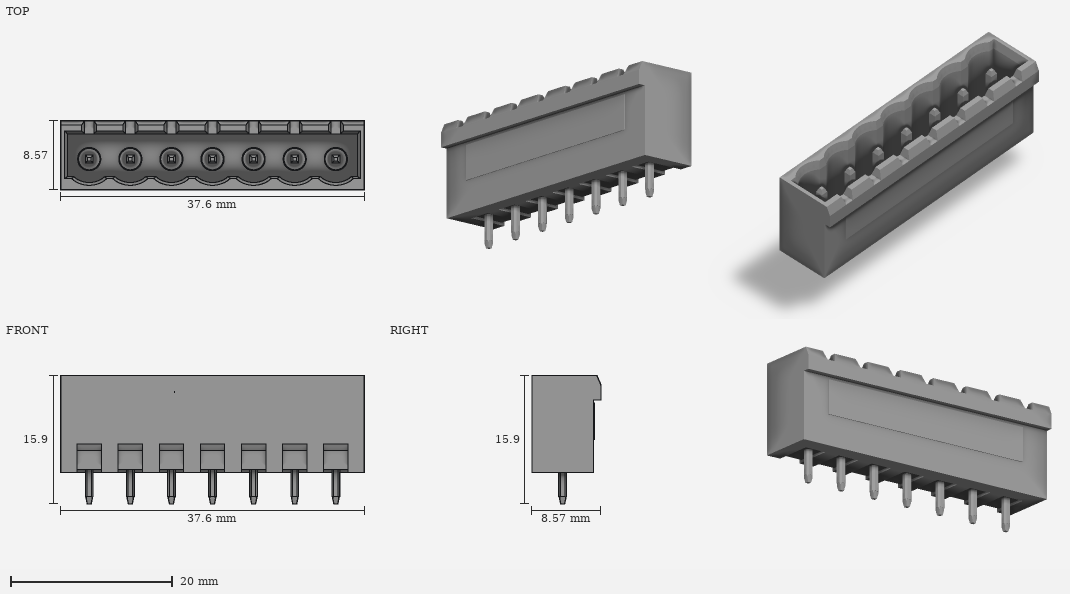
import cadquery as cq


PIN_COUNT = 7
PITCH = 5.08
ROW_LENGTH = (PIN_COUNT - 1) * PITCH
PIN_X = [i * PITCH - ROW_LENGTH / 2 for i in range(PIN_COUNT)]

LENGTH = 37.56
DEPTH = 7.62
HEIGHT = 12.0
FRONT_Y = -DEPTH / 2
BACK_Y = DEPTH / 2

LEDGE_REACH = 0.95
LEDGE_HEIGHT = 3.05
LEDGE_TOP_REACH = 0.42
LEAD_IN_HEIGHT = 1.2
LEDGE_SLOPE_HEIGHT = LEAD_IN_HEIGHT

PANEL_LENGTH = 30.0
PANEL_BOTTOM = 4.05
PANEL_TOP = 8.6
PANEL_THICKNESS = 0.12

FLOOR_Z = 3.5
END_WALL = 0.86
BACK_WALL = 0.69
FRONT_WALL = 1.65
LEAD_IN = 0.35
FRONT_LEAD_IN = 0.25
CAVITY_FRONT = FRONT_Y + FRONT_WALL
SCALLOP_RADIUS = 2.9

NOTCH_FLOOR_WIDTH = 1.15
NOTCH_TOP_WIDTH = 1.85
NOTCH_DEPTH = LEAD_IN_HEIGHT

COLLAR_BASE_RADIUS = 1.43
COLLAR_TOP_RADIUS = 1.33
COLLAR_HEIGHT = 0.3

WINDOW_WIDTH = 3.0
WINDOW_TOP = 3.5
WINDOW_SLOPE_BASE = 2.75
WINDOW_DEPTH = 0.4
UNDERCUT_HEIGHT = 0.35
UNDERCUT_BACK = WINDOW_WIDTH / 2

PIN_WIDTH = 0.98
LEG_BEVEL = 0.23
PIN_TOP = 10.3
PIN_BOTTOM = -3.9
SOLDER_TIP_LENGTH = 0.92
SOLDER_TIP_BASE_WIDTH = 0.88
SOLDER_TIP_WIDTH = 0.5
CONTACT_TIP_LENGTH = 0.6
CONTACT_TIP_WIDTH = 0.45


def side_prism(points, length):
    """Extrude a (Y, Z) outline along X, centred on X = 0."""
    return cq.Workplane("YZ").polyline(points).close().extrude(length / 2, both=True)


def front_prism(points, y_start, y_end):
    """Extrude an (X, Z) outline from y_start back to y_end."""
    return cq.Workplane("XZ", origin=(0, y_start, 0)).polyline(points).close().extrude(y_start - y_end)


def spanning_box(x_size, y_start, y_end, z_start, z_end):
    """Box centred on X = 0 between the given Y and Z limits."""
    return (
        cq.Workplane("XY", origin=(0, (y_start + y_end) / 2, z_start))
        .rect(x_size, y_end - y_start)
        .extrude(z_end - z_start)
    )


def frustum(z_start, radius_start, z_end, radius_end):
    """Cone frustum about the Z axis."""
    outline = [(0, z_start), (radius_start, z_start), (radius_end, z_end), (0, z_end)]
    return cq.Workplane("XZ").polyline(outline).close().revolve(360, (0, 0, 0), (0, 1, 0))


def square_taper(z_start, width_start, z_end, width_end):
    """Square frustum about the Z axis."""
    return (
        cq.Workplane("XY", origin=(0, 0, z_start))
        .rect(width_start, width_start)
        .workplane(offset=z_end - z_start)
        .rect(width_end, width_end)
        .loft(ruled=True)
    )


def block_with_ledge():
    ledge_y = BACK_Y + LEDGE_REACH
    ledge_bottom = HEIGHT - LEDGE_HEIGHT
    outline = [
        (FRONT_Y, 0),
        (BACK_Y, 0),
        (BACK_Y, ledge_bottom),
        (ledge_y, ledge_bottom),
        (ledge_y, HEIGHT - LEDGE_SLOPE_HEIGHT),
        (BACK_Y + LEDGE_TOP_REACH, HEIGHT),
        (FRONT_Y, HEIGHT),
    ]
    panel = spanning_box(PANEL_LENGTH, BACK_Y, BACK_Y + PANEL_THICKNESS, PANEL_BOTTOM, PANEL_TOP)
    return side_prism(outline, LENGTH).union(panel)


def cavity_cutter():
    """Straight cavity plus the lead-in, which widens it on all four sides towards the rim."""
    inner_length = LENGTH - 2 * END_WALL
    inner_back = BACK_Y - BACK_WALL
    inner_depth = inner_back - CAVITY_FRONT
    straight = spanning_box(inner_length, CAVITY_FRONT, inner_back, FLOOR_Z, HEIGHT)
    lead_in = (
        cq.Workplane("XY", origin=(0, (CAVITY_FRONT + inner_back) / 2, HEIGHT - LEAD_IN_HEIGHT))
        .rect(inner_length, inner_depth)
        .workplane(offset=LEAD_IN_HEIGHT)
        .center(0, (LEAD_IN - FRONT_LEAD_IN) / 2)
        .rect(inner_length + 2 * LEAD_IN, inner_depth + LEAD_IN + FRONT_LEAD_IN)
        .loft(ruled=True)
    )
    return straight.union(lead_in)


def scallop_cutter():
    """Round bay in the front wall around one pin, flared at the rim."""
    bore = cq.Workplane("XY", origin=(0, 0, FLOOR_Z)).circle(SCALLOP_RADIUS).extrude(HEIGHT - FLOOR_Z)
    flare = frustum(HEIGHT - LEAD_IN_HEIGHT, SCALLOP_RADIUS, HEIGHT, SCALLOP_RADIUS + LEAD_IN)
    front_half = spanning_box(PITCH, FRONT_Y, 0, FLOOR_Z, HEIGHT)
    return bore.union(flare).intersect(front_half)


def notch_cutter():
    floor_z = HEIGHT - NOTCH_DEPTH
    outline = [
        (-NOTCH_FLOOR_WIDTH / 2, floor_z),
        (NOTCH_FLOOR_WIDTH / 2, floor_z),
        (NOTCH_TOP_WIDTH / 2, HEIGHT),
        (-NOTCH_TOP_WIDTH / 2, HEIGHT),
    ]
    return front_prism(outline, 0, BACK_Y + LEDGE_REACH)


def window_cutter():
    """Window with a sloped head, joined to the recess under the pin."""
    window_back = FRONT_Y + WINDOW_DEPTH
    outline = [
        (FRONT_Y, 0),
        (UNDERCUT_BACK, 0),
        (UNDERCUT_BACK, UNDERCUT_HEIGHT),
        (window_back, UNDERCUT_HEIGHT),
        (window_back, WINDOW_SLOPE_BASE),
        (FRONT_Y, WINDOW_TOP),
    ]
    return side_prism(outline, WINDOW_WIDTH)


def make_pin():
    """Square contact blade above the cavity floor, bevelled solder leg below, both with tapered tips."""
    contact_base = PIN_TOP - CONTACT_TIP_LENGTH
    solder_base = PIN_BOTTOM + SOLDER_TIP_LENGTH
    half_width = PIN_WIDTH / 2
    leg = spanning_box(PIN_WIDTH, -half_width, half_width, solder_base, FLOOR_Z)
    leg = leg.edges("|Z").chamfer(LEG_BEVEL)
    solder_tip = square_taper(PIN_BOTTOM, SOLDER_TIP_WIDTH, solder_base, SOLDER_TIP_BASE_WIDTH)
    solder_tip = solder_tip.intersect(leg.translate((0, 0, PIN_BOTTOM - solder_base)))
    blade = spanning_box(PIN_WIDTH, -half_width, half_width, FLOOR_Z, contact_base)
    contact_tip = square_taper(contact_base, PIN_WIDTH, PIN_TOP, CONTACT_TIP_WIDTH)
    return leg.union(solder_tip).union(blade).union(contact_tip)


def make_housing(pin):
    housing = block_with_ledge().cut(cavity_cutter())
    collar = frustum(FLOOR_Z, COLLAR_BASE_RADIUS, FLOOR_Z + COLLAR_HEIGHT, COLLAR_TOP_RADIUS)
    station_cutters = [scallop_cutter(), notch_cutter(), window_cutter()]
    for x in PIN_X:
        for cutter in station_cutters:
            housing = housing.cut(cutter.translate((x, 0, 0)))
        housing = housing.union(collar.translate((x, 0, 0)))
        housing = housing.cut(pin.translate((x, 0, 0)))
    return housing


pin = make_pin()
pins = [pin.translate((x, 0, 0)) for x in PIN_X]
housing = make_housing(pin)

result = cq.Compound.makeCompound([housing.val(), *[p.val() for p in pins]])